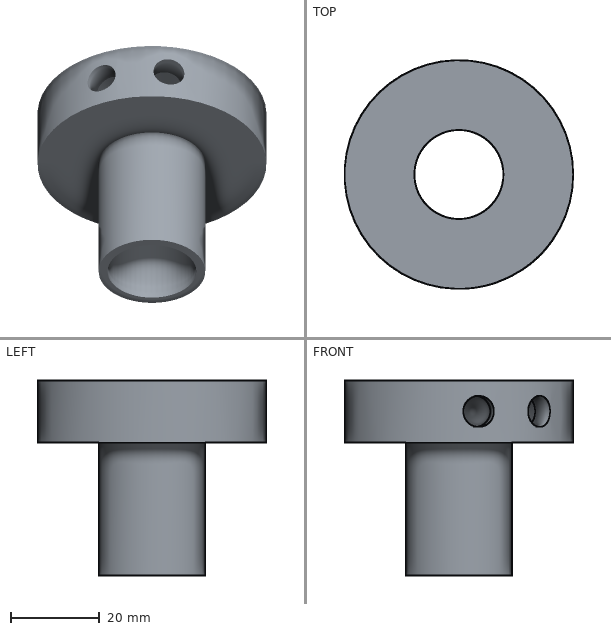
import cadquery as cq
import math

flange_diameter = 51.5
flange_height = 14.0
sleeve_diameter = 24.0
sleeve_length = 29.95
bore_diameter = 20.0

hole_diameter = 7.0
hole_depth = 5.0
hole_tip_angle = 90.0
hole_angles = [-80.0, -45.0]

flange_radius = flange_diameter / 2
hole_radius = hole_diameter / 2
tip_length = hole_radius / math.tan(math.radians(hole_tip_angle / 2))
hole_floor = flange_radius - hole_depth
hole_tip = hole_floor - tip_length
cutter_end = flange_radius + hole_radius
hole_z = sleeve_length + flange_height / 2


def make_ring(outer_diameter, height, base_z):
    """Upright ring around Z with the common bore."""
    return (
        cq.Workplane("XY", origin=(0, 0, base_z))
        .circle(outer_diameter / 2)
        .circle(bore_diameter / 2)
        .extrude(height)
    )


def make_hole_cutter(angle):
    """Cone-tipped drill shape pointing at the Z axis."""
    return (
        cq.Workplane("XZ")
        .moveTo(hole_tip, 0)
        .lineTo(hole_floor, hole_radius)
        .lineTo(cutter_end, hole_radius)
        .lineTo(cutter_end, 0)
        .close()
        .revolve(360, (0, 0, 0), (1, 0, 0))
        .translate((0, 0, hole_z))
        .rotate((0, 0, 0), (0, 0, 1), angle)
    )


def make_flange():
    """Bored disc with radial holes, seated on top of the sleeve."""
    flange = make_ring(flange_diameter, flange_height, sleeve_length)
    for angle in hole_angles:
        flange = flange.cut(make_hole_cutter(angle))
    return flange


def make_sleeve():
    """Thin tube below the flange, continuing its bore."""
    return make_ring(sleeve_diameter, sleeve_length, 0)


flange = make_flange()
sleeve = make_sleeve()
result = cq.Compound.makeCompound([flange.val(), sleeve.val()])